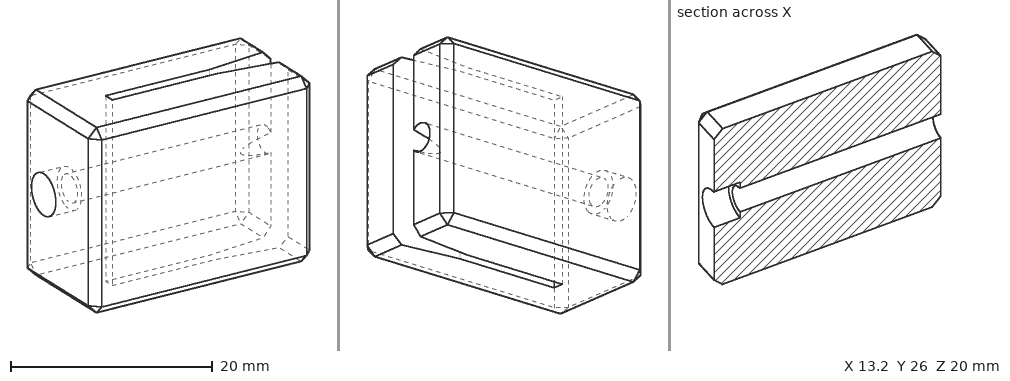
import cadquery as cq

width = 13.2
length = 26.0
height = 20.0
edge_chamfer = 1.0

slot_length = 20.0
slot_width = 1.25
mouth_width = 3.17
mouth_length = 7.8

hole_diameter = 3.0
counterbore_diameter = 4.5
counterbore_depth = 3.0
hole_x = -2.6


def make_block():
    return cq.Workplane("XY").box(width, length, height).edges().chamfer(edge_chamfer)


def make_slot():
    """Parallel slot that flares towards its mouth at the back end."""
    back = length / 2
    floor = back - slot_length
    flare_start = back - mouth_length
    half_slot = slot_width / 2
    half_mouth = mouth_width / 2
    outline = [
        (-half_slot, floor),
        (half_slot, floor),
        (half_slot, flare_start),
        (half_mouth, back),
        (-half_mouth, back),
        (-half_slot, flare_start),
    ]
    return cq.Workplane("XY").polyline(outline).close().extrude(height / 2, both=True)


def make_bore(diameter, depth):
    """Cylinder running into the block from its front face."""
    front_face = cq.Workplane("XZ", origin=(hole_x, -length / 2, 0))
    return front_face.circle(diameter / 2).extrude(-depth)


result = (
    make_block()
    .cut(make_slot())
    .cut(make_bore(hole_diameter, length))
    .cut(make_bore(counterbore_diameter, counterbore_depth))
)